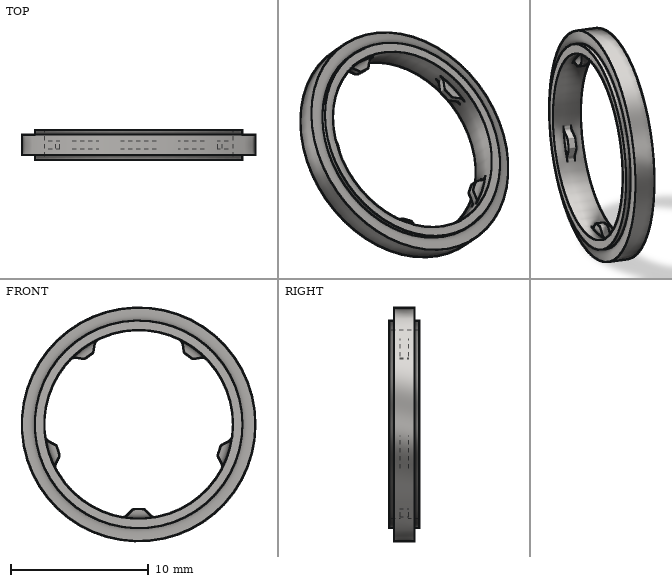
import cadquery as cq
import math

flange_diameter = 17.0
flange_width = 1.5
hub_diameter = 15.1
hub_width = 2.2
bore_diameter = 13.7
bore_radius = bore_diameter / 2

nub_count = 5
nub_height = 0.7
nub_top_width = 0.8
nub_flank_angle = 45.0
nub_thickness = 0.6
nub_tip_radius = 0.25
nub_foot_radius = 0.5
nub_root_depth = 0.3


def disc(diameter, width):
    """Disc about the Y axis, centred on the XZ plane."""
    return cq.Workplane("XZ", origin=(0, -width / 2, 0)).circle(diameter / 2).extrude(-width)


def make_ring():
    """Flange on a wider hub, with a plain through bore."""
    body = disc(flange_diameter, flange_width).union(disc(hub_diameter, hub_width))
    return body.cut(disc(bore_diameter, hub_width))


def make_nub():
    """Rounded trapezoid at the bottom of the bore, with feet blended into the bore."""
    top_z = nub_height - bore_radius
    root_z = -bore_radius - nub_root_depth
    flank_slope = math.tan(math.radians(nub_flank_angle))
    top_half = nub_top_width / 2
    root_half = top_half + (top_z - root_z) / flank_slope
    wedge = (
        cq.Workplane("XZ")
        .polyline([(-root_half, root_z), (-top_half, top_z), (top_half, top_z), (root_half, root_z)])
        .close()
        .extrude(nub_thickness / 2, both=True)
        .edges("|Y and >Z")
        .fillet(nub_tip_radius)
    )
    wall = disc(hub_diameter, nub_thickness).cut(disc(bore_diameter, nub_thickness))
    footed = wall.union(wedge)
    foot_reach = root_half + nub_foot_radius
    foot_zone = cq.selectors.BoxSelector(
        (-foot_reach, -nub_thickness, root_z),
        (foot_reach, nub_thickness, nub_height / 2 - bore_radius),
    )
    blended = footed.edges("|Y").edges(foot_zone).fillet(nub_foot_radius)
    return blended.intersect(disc(bore_diameter, nub_thickness))


result = make_ring()
nub = make_nub()
for index in range(nub_count):
    angle = index * 360 / nub_count
    result = result.union(nub.rotate((0, 0, 0), (0, 1, 0), angle))